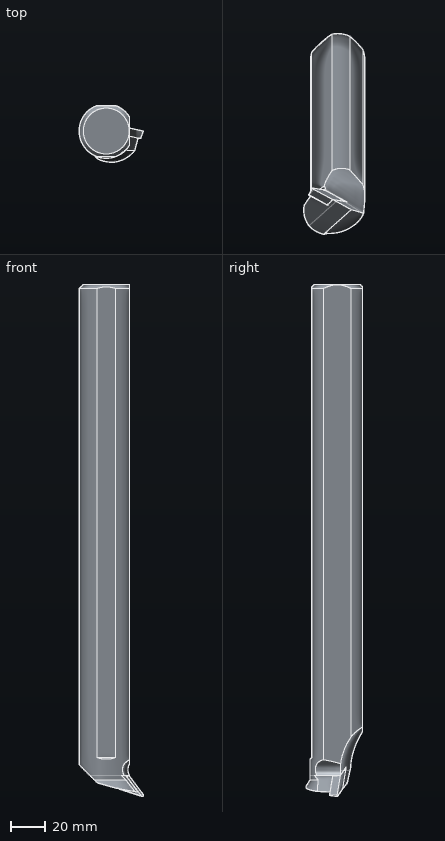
import cadquery as cq
import math


shank_radius = 16.0
cut_size = 4 * shank_radius
total_length = 301.25
top_chamfer = 2.5
flat_half_height = 15.0
side_flat_distance = 13.75
flat_end_z = 23.0

collar_top_z = 12.4
collar_bottom_z = 9.75
collar_radius = 16.1
flare_angle = 32.1

heel = (-5.2, 8.0)
underside_break = (5.2, 5.0)
underside_end = (22.0, 2.0)

rake_turn = 12.5
tip_reach = 21.89
edge_length = 16.6
front_edge_angle = 17.5
point_angle = 35.0
side_edge_angle = front_edge_angle + point_angle
insert_thickness = 4.76
relief_angle = 7.0
nose_radius = 0.8

gash_radius = 35.0
gash_start_z = 15.2
flank_setback = 1.0
scallop_radius = 7.0
scallop_center = (19.1, 15.8)


def turned(body):
    """Turn a body built square to the axes into the frame of the insert."""
    return body.rotate((0, 0, 0), (0, 0, 1), -rake_turn)


def direction(angle):
    """Unit vector of an insert edge that rises toward -X at this angle."""
    return (-math.cos(math.radians(angle)), math.sin(math.radians(angle)))


def step(point, heading, distance):
    """Point reached by going a distance along a heading."""
    return (point[0] + heading[0] * distance, point[1] + heading[1] * distance)


turn = math.radians(rake_turn)
nose_y = tip_reach * math.sin(turn)
front_heading = direction(front_edge_angle)
side_heading = direction(side_edge_angle)
nose_center = (tip_reach * math.cos(turn) - nose_radius, nose_radius)
half_point = math.radians(point_angle) / 2
bisector = direction((front_edge_angle + side_edge_angle) / 2)
sharp_tip = step(nose_center, bisector, -nose_radius / math.sin(half_point))


def make_insert():
    """Rhombic insert, extruded back from its rake face with relief on all sides."""
    front_corner = step(sharp_tip, front_heading, edge_length)
    side_corner = step(sharp_tip, side_heading, edge_length)
    far_corner = step(front_corner, side_heading, edge_length)
    tangent_length = nose_radius / math.tan(half_point)
    nose_start = step(sharp_tip, side_heading, tangent_length)
    nose_middle = step(nose_center, bisector, -nose_radius)
    nose_end = step(sharp_tip, front_heading, tangent_length)
    outline = (
        cq.Workplane("XZ", origin=(0, nose_y, 0))
        .moveTo(*nose_start)
        .threePointArc(nose_middle, nose_end)
        .lineTo(*front_corner)
        .lineTo(*far_corner)
        .lineTo(*side_corner)
        .close()
    )
    return turned(outline.extrude(insert_thickness, taper=relief_angle))


def make_shank():
    """Round shank with two clamping flats and a side flat."""
    shank = (
        cq.Workplane("XY", origin=(0, 0, collar_top_z))
        .circle(shank_radius)
        .extrude(total_length - collar_top_z)
        .faces(">Z")
        .chamfer(top_chamfer)
    )
    overshoot = 2 * (shank_radius - flat_half_height)
    for side in (1, -1):
        flat = (
            cq.Workplane("YZ")
            .moveTo(side * flat_half_height, flat_end_z)
            .lineTo(side * (flat_half_height + overshoot), flat_end_z - overshoot)
            .lineTo(side * (flat_half_height + overshoot), total_length)
            .lineTo(side * flat_half_height, total_length)
            .close()
            .extrude(shank_radius, both=True)
        )
        shank = shank.cut(flat)
    side_flat = cq.Workplane("XY").box(
        cut_size, cut_size, total_length, centered=(False, True, False)
    ).translate((side_flat_distance, 0, 0))
    return shank.cut(side_flat)


def make_flare():
    """Tapered collar and conical flare below the shank."""
    bottom_radius = collar_radius + collar_bottom_z * math.tan(math.radians(flare_angle))
    return (
        cq.Workplane("XZ")
        .moveTo(0, 0)
        .lineTo(bottom_radius, 0)
        .lineTo(collar_radius, collar_bottom_z)
        .lineTo(shank_radius, collar_top_z)
        .lineTo(0, collar_top_z)
        .close()
        .revolve(360, (0, 0, 0), (0, 1, 0))
    )


def underside_cut():
    """Removes the 45 degree heel and everything below the head."""
    outer_x = -cut_size
    return (
        cq.Workplane("XZ")
        .moveTo(outer_x, heel[1] + heel[0] - outer_x)
        .lineTo(*heel)
        .lineTo(*underside_break)
        .lineTo(*underside_end)
        .lineTo(cut_size, underside_end[1])
        .lineTo(cut_size, -cut_size)
        .lineTo(outer_x, -cut_size)
        .close()
        .extrude(cut_size, both=True)
    )


def gash_cut():
    """Chip gash level with the rake face, with a round run-out above."""
    full_sweep = math.acos(1 - shank_radius / gash_radius)

    def runout_point(sweep):
        return (
            nose_y + gash_radius * (1 - math.cos(sweep)),
            gash_start_z + gash_radius * math.sin(sweep),
        )

    runout_end = runout_point(full_sweep)
    gash = (
        cq.Workplane("YZ")
        .moveTo(nose_y, 0)
        .lineTo(nose_y, gash_start_z)
        .threePointArc(runout_point(full_sweep / 2), runout_end)
        .lineTo(runout_end[0], 0)
        .close()
        .extrude(cut_size, both=True)
    )
    return turned(gash)


def flank_cut():
    """Sets the head back behind the side edge of the insert."""
    start = (sharp_tip[0] - flank_setback, sharp_tip[1])
    top = step(start, side_heading, (collar_top_z - start[1]) / side_heading[1])
    flank = (
        cq.Workplane("XZ")
        .polyline([start, (cut_size, start[1]), (cut_size, top[1]), top])
        .close()
        .extrude(cut_size, both=True)
    )
    return turned(flank)


def scallop_cut():
    """Round relief beside the upper end of the insert."""
    scallop = cq.Workplane("XZ").center(*scallop_center).circle(scallop_radius)
    return turned(scallop.extrude(cut_size, both=True))


insert = make_insert()
bar = make_shank().union(make_flare())
for cutter in (underside_cut(), gash_cut(), flank_cut(), scallop_cut(), insert):
    bar = bar.cut(cutter)

result = cq.Compound.makeCompound([bar.val(), insert.val()])